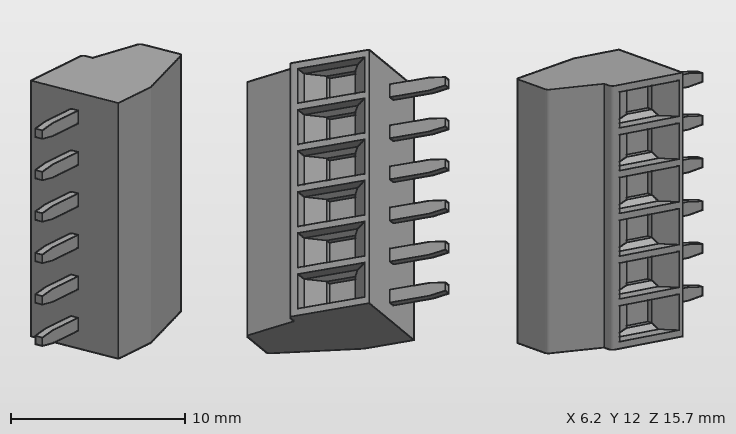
import cadquery as cq


contact_count = 6
pitch = 2.55

housing_width = 6.2
housing_depth = 8.5
housing_height = 15.7
ledge_y = 5.07
ledge_width = 0.72
back_wall_end_y = 3.17
roof_left_x = 1.6
roof_right_x = 4.57
roof_edge_radius = 0.25
ledge_edge_radius = 0.24

entry_low_y = 0.27
entry_high_y = 4.49
entry_height = 2.14
throat_low_y = 1.38
throat_high_y = 3.19
throat_height = 1.5
throat_rise = 0.04
entry_depth = 0.85
funnel_depth = 1.11
throat_depth = 0.4

pin_length = 3.5
pin_thickness = 0.5
pin_height = 0.8
pin_tip_height = 0.52
pin_tip_length = 1.0


def make_housing():
    outline = [
        (0, 0),
        (housing_width, 0),
        (housing_width, back_wall_end_y),
        (roof_right_x, housing_depth),
        (roof_left_x, housing_depth),
        (ledge_width, ledge_y),
        (0, ledge_y),
    ]
    housing = cq.Workplane("XY").polyline(outline).close().extrude(housing_height / 2, both=True)
    housing = housing.faces(">Y").edges("|Z").fillet(roof_edge_radius)
    ledge_edge = cq.selectors.NearestToPointSelector((0, ledge_y, 0))
    return housing.edges("|Z").edges(ledge_edge).fillet(ledge_edge_radius)


def make_funnel():
    """Cutter for one wire funnel whose entry is centred on Z = 0."""
    low_wall_slope = (throat_low_y - entry_low_y) / funnel_depth
    taper_low_y = entry_low_y + low_wall_slope * entry_depth
    entry_outline = [
        (0, entry_low_y),
        (entry_depth, taper_low_y),
        (entry_depth, entry_high_y),
        (0, entry_high_y),
    ]
    entry = cq.Workplane("XY").polyline(entry_outline).close().extrude(entry_height / 2, both=True)

    taper_width = entry_high_y - taper_low_y
    throat_width = throat_high_y - throat_low_y
    taper_middle_y = (taper_low_y + entry_high_y) / 2
    throat_middle_y = (throat_low_y + throat_high_y) / 2
    taper = (
        cq.Workplane("YZ", origin=(entry_depth, taper_middle_y, 0))
        .rect(taper_width, entry_height)
        .workplane(offset=funnel_depth - entry_depth)
        .center(throat_middle_y - taper_middle_y, throat_rise)
        .rect(throat_width, throat_height)
        .loft(ruled=True)
    )
    throat = (
        cq.Workplane("YZ", origin=(funnel_depth, throat_middle_y, throat_rise))
        .rect(throat_width, throat_height)
        .extrude(throat_depth)
    )
    return entry.union(taper).union(throat).clean()


def make_pin():
    """One pin standing out of the -Y face, with a tip tapered in Z, centred on Z = 0."""
    taper_start_y = pin_tip_length - pin_length
    outline = [
        (0, pin_height / 2),
        (taper_start_y, pin_height / 2),
        (-pin_length, pin_tip_height / 2),
        (-pin_length, -pin_tip_height / 2),
        (taper_start_y, -pin_height / 2),
        (0, -pin_height / 2),
    ]
    pin = cq.Workplane("YZ").polyline(outline).close().extrude(pin_thickness / 2, both=True)
    return pin.translate((housing_width / 2, 0, 0))


result = make_housing()
funnel = make_funnel()
pin = make_pin()
for index in range(contact_count):
    contact_z = (index - (contact_count - 1) / 2) * pitch
    result = result.cut(funnel.translate((0, 0, contact_z)))
    result = result.union(pin.translate((0, 0, contact_z)))